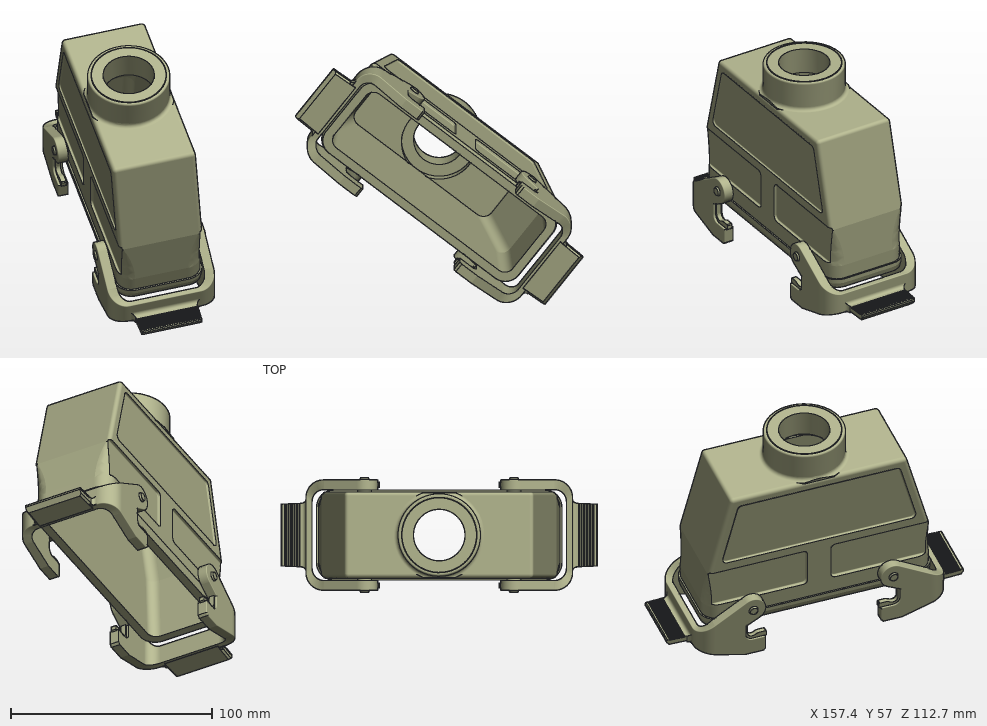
import cadquery as cq
import math

HOOD_BOTTOM = 18.0
FLANGE_MID = 20.5
FLANGE_TOP = 22.9
SKIRT_TOP = 30.0
SHOULDER_Z = 51.3
ROOF_Z = 96.9
NECK_TOP = 112.7

BODY_HALF_WIDTH = 21.5
ROOF_HALF_LENGTH = 46.6
SHOULDER_HALF_LENGTH = 58.5
SKIRT_HALF_LENGTH = 60.1
SKIRT_CORNER = 7.7
BODY_EDGE = 2.0
FLANGE_STEP = 0.9
FLANGE_DRAFT = 0.6
CORNER_SECTIONS = 4
END_SLOPE = (SHOULDER_HALF_LENGTH - ROOF_HALF_LENGTH) / (ROOF_Z - SHOULDER_Z)

WALL = 4.0
ROOF_THICKNESS = 3.5
CAVITY_CORNER = 5.0

LOWER_PANEL_BOTTOM = 31.4
LOWER_PANEL_TOP = 52.7
LOWER_PANEL_INNER_END = 6.2
LOWER_PANEL_DEPTH = 1.4
UPPER_PANEL_BOTTOM = 57.4
UPPER_PANEL_TOP = 92.2
UPPER_PANEL_DEPTH = 1.0
PANEL_END_GAP = 5.0
PANEL_CORNER = 2.5
PANEL_RIM = 0.3
PANEL_FLOOR_FILLET = 0.5

NECK_DIAMETER = 41.0
NECK_EDGE = 1.0
NECK_FLARE = 2.0
BUSH_DIAMETER = 37.5
BUSH_BORE = 25.5
BUSH_LENGTH = 13.6
BUSH_EDGE = 0.25

PIVOT_X = 37.1
PIVOT_Z = 27.8
PEG_DIAMETER = 4.8
PEG_TIP_DIAMETER = 4.0
PEG_SPAN = 57.0
PEG_BOSS_DIAMETER = 7.0

LEG_INNER = 22.5
LEG_OUTER = 27.5
LEG_EDGE = 0.4
BAR_FRONT = 66.3
BAR_BACK = 63.1
CORNER_START = 57.4
OUTER_CORNER = BAR_FRONT - CORNER_START
INNER_CORNER = BAR_BACK - CORNER_START
BAR_TOP = 18.0
BAR_BOTTOM = 7.2
LOBE_RADIUS = 6.6
CORNER_STEPS = 6
TOLERANCE = 0.01

TOE_START = 41.7
TOE_END = 30.6
TOE_EDGE = 1.2
SLOT_TOP = 18.3
SLOT_BACK = 40.9
SLOT_FLOOR = 8.8
SLOT_CORNER = 3.5
RIB_THICKNESS = 2.6
RIB_END = 29.8
RIB_INSET = 1.0
RIB_LOW = 10.3
RIB_HIGH = 11.5

PAD_TIP = 78.7
PAD_TOP = 11.0
PAD_BOTTOM = 7.0
PAD_TIP_HALF_WIDTH = 15.4
PAD_ROOT_HALF_WIDTH = 16.0
PAD_EDGE = 1.0
PAD_TIP_FACE = 1.0
PAD_TIP_TOP_EDGE = 0.5
PAD_TIP_SLANT = 2.0
PAD_FILLET = 1.8
GROOVE_COUNT = 7
GROOVE_PITCH = 1.2
GROOVE_WIDTH = 0.6
GROOVE_DEPTH = 0.5
FIRST_GROOVE = 69.5


def rounded_plan(half_length, half_width, corner, z):
    """Rounded rectangle wire, centred on the Z axis, at one level."""
    outline = cq.Workplane("XY", origin=(0, 0, z)).rect(2 * half_length, 2 * half_width).wires().val()
    return outline.fillet2D(corner, outline.Vertices())


def loft(wires, ruled=False):
    return cq.Workplane(cq.Solid.makeLoft(wires, ruled))


def upper_body():
    """Part above the shoulder: sloping ends, all outer edges rounded."""
    outline = [
        (-SHOULDER_HALF_LENGTH, SHOULDER_Z),
        (SHOULDER_HALF_LENGTH, SHOULDER_Z),
        (ROOF_HALF_LENGTH, ROOF_Z),
        (-ROOF_HALF_LENGTH, ROOF_Z),
    ]
    body = cq.Workplane("XZ").polyline(outline).close().extrude(BODY_HALF_WIDTH, both=True)
    return body.faces("not <Z").edges("not <Z").fillet(BODY_EDGE)


def lower_body():
    """Part between flange and shoulder: the corner radius shrinks towards the shoulder."""
    sections = []
    for i in range(CORNER_SECTIONS):
        rise = i / (CORNER_SECTIONS - 1)
        half_length = SKIRT_HALF_LENGTH + rise * (SHOULDER_HALF_LENGTH - SKIRT_HALF_LENGTH)
        corner = SKIRT_CORNER + rise**2 * (BODY_EDGE - SKIRT_CORNER)
        z = SKIRT_TOP + rise * (SHOULDER_Z - SKIRT_TOP)
        sections.append(rounded_plan(half_length, BODY_HALF_WIDTH, corner, z))
    skirt_plan = [
        rounded_plan(SKIRT_HALF_LENGTH, BODY_HALF_WIDTH, SKIRT_CORNER, z)
        for z in (FLANGE_MID, SKIRT_TOP)
    ]
    return loft(sections).union(loft(skirt_plan, ruled=True))


def flange():
    """Rim around the mouth: straight upper band, tapered lower band."""
    half_length = SKIRT_HALF_LENGTH + FLANGE_STEP
    half_width = BODY_HALF_WIDTH + FLANGE_STEP
    corner = SKIRT_CORNER + FLANGE_STEP
    low = rounded_plan(
        half_length - FLANGE_DRAFT, half_width - FLANGE_DRAFT, corner - FLANGE_DRAFT, HOOD_BOTTOM
    )
    middle = rounded_plan(half_length, half_width, corner, FLANGE_MID)
    high = rounded_plan(half_length, half_width, corner, FLANGE_TOP)
    return loft([low, middle], ruled=True).union(loft([middle, high], ruled=True))


def neck():
    """Round neck with a concave flare where it meets the roof."""
    radius = NECK_DIAMETER / 2
    tube = cq.Workplane("XY", origin=(0, 0, SHOULDER_Z)).circle(radius).extrude(NECK_TOP - SHOULDER_Z)
    tube = tube.faces(">Z").edges().fillet(NECK_EDGE)
    tube = tube.intersect(
        cq.Workplane("XY", origin=(0, 0, ROOF_Z - ROOF_THICKNESS)).circle(radius).extrude(NECK_TOP)
    )
    bend = NECK_FLARE * (1 - math.sqrt(0.5))
    flare = (
        cq.Workplane("XZ")
        .moveTo(0, ROOF_Z - BODY_EDGE)
        .lineTo(radius + NECK_FLARE, ROOF_Z - BODY_EDGE)
        .lineTo(radius + NECK_FLARE, ROOF_Z)
        .threePointArc((radius + bend, ROOF_Z + bend), (radius, ROOF_Z + NECK_FLARE))
        .lineTo(0, ROOF_Z + NECK_FLARE)
        .close()
        .revolve(360, (0, 0, 0), (0, 1, 0))
    )
    clip_width = 2 * BODY_HALF_WIDTH - BODY_EDGE / 2
    between_sides = cq.Workplane("XY").box(2 * NECK_DIAMETER, clip_width, 2 * NECK_TOP)
    return tube.union(flare.intersect(between_sides))


def cavity():
    """Hollow that follows the outline of the hood and opens at the bottom."""
    roof = ROOF_Z - ROOF_THICKNESS
    outline = [
        (-SKIRT_HALF_LENGTH + WALL, HOOD_BOTTOM),
        (SKIRT_HALF_LENGTH - WALL, HOOD_BOTTOM),
        (SHOULDER_HALF_LENGTH - WALL, SHOULDER_Z),
        (ROOF_HALF_LENGTH - WALL, roof),
        (-ROOF_HALF_LENGTH + WALL, roof),
        (-SHOULDER_HALF_LENGTH + WALL, SHOULDER_Z),
    ]
    hollow = cq.Workplane("XZ").polyline(outline).close().extrude(BODY_HALF_WIDTH - WALL, both=True)
    return hollow.edges("not (#Z or |Y)").fillet(CAVITY_CORNER)


def sunk_panel(outline, depth):
    """Shallow pocket on the -Y side whose walls slope in towards a floor with rounded edges."""
    slope = math.degrees(math.atan(PANEL_RIM / depth))
    face = cq.Workplane("XZ", origin=(0, -BODY_HALF_WIDTH, 0)).polyline(outline).close()
    wire = face.wires().val()
    wire = wire.fillet2D(PANEL_CORNER, wire.Vertices())
    mouth = cq.Workplane("XZ", origin=(0, -BODY_HALF_WIDTH, 0)).add(wire).toPending()
    return mouth.extrude(-depth, taper=slope).faces(">Y").edges().fillet(PANEL_FLOOR_FILLET)


def upper_panel():
    low = SHOULDER_HALF_LENGTH - PANEL_END_GAP - END_SLOPE * (UPPER_PANEL_BOTTOM - SHOULDER_Z)
    high = SHOULDER_HALF_LENGTH - PANEL_END_GAP - END_SLOPE * (UPPER_PANEL_TOP - SHOULDER_Z)
    outline = [
        (-low, UPPER_PANEL_BOTTOM),
        (low, UPPER_PANEL_BOTTOM),
        (high, UPPER_PANEL_TOP),
        (-high, UPPER_PANEL_TOP),
    ]
    return sunk_panel(outline, UPPER_PANEL_DEPTH)


def lower_panel():
    """Panel that runs out through the +X end of the hood."""
    beyond = SKIRT_HALF_LENGTH + 2 * PANEL_CORNER
    outline = [
        (LOWER_PANEL_INNER_END, LOWER_PANEL_BOTTOM),
        (beyond, LOWER_PANEL_BOTTOM),
        (beyond, LOWER_PANEL_TOP),
        (LOWER_PANEL_INNER_END, LOWER_PANEL_TOP),
    ]
    return sunk_panel(outline, LOWER_PANEL_DEPTH)


def peg():
    """Pivot peg on the -Y side: boss, shank and a tapered tip, at the +X pivot."""
    radius = PEG_DIAMETER / 2
    tip = PEG_TIP_DIAMETER / 2
    boss = PEG_BOSS_DIAMETER / 2
    root = BODY_HALF_WIDTH - LOWER_PANEL_DEPTH
    profile = [
        (0, root),
        (boss, root),
        (boss, LEG_INNER),
        (radius, LEG_INNER),
        (radius, LEG_OUTER),
        (tip, PEG_SPAN / 2),
        (0, PEG_SPAN / 2),
    ]
    turned = cq.Workplane("XY").polyline(profile).close().revolve(360, (0, 0, 0), (0, 1, 0))
    return turned.mirror("XZ").translate((PIVOT_X, 0, PIVOT_Z))


def build_hood():
    hood = upper_body().union(lower_body()).union(flange()).union(neck())
    for turn in (0, 180):
        half_turn = ((0, 0, 0), (0, 0, 1), turn)
        hood = hood.cut(upper_panel().rotate(*half_turn))
        hood = hood.cut(lower_panel().rotate(*half_turn))
        hood = hood.cut(lower_panel().mirror("YZ").rotate(*half_turn))
        hood = hood.union(peg().rotate(*half_turn))
        hood = hood.union(peg().mirror("YZ").rotate(*half_turn))
    hood = hood.cut(cavity())
    bore_bottom = ROOF_Z - ROOF_THICKNESS
    bore = cq.Workplane("XY", origin=(0, 0, bore_bottom)).circle(BUSH_DIAMETER / 2)
    return hood.cut(bore.extrude(NECK_TOP - bore_bottom))


def build_bush():
    bush = cq.Workplane("XY", origin=(0, 0, NECK_TOP - BUSH_LENGTH)).circle(BUSH_DIAMETER / 2)
    bush = bush.extrude(BUSH_LENGTH)
    bush = bush.faces(">Z").edges().chamfer(BUSH_EDGE)
    return bush.faces(">Z").workplane().hole(BUSH_BORE)


RAMP_RUN = BAR_FRONT - PIVOT_X
RAMP_RISE = PIVOT_Z - BAR_TOP
RAMP_ANGLE = math.atan2(RAMP_RISE, RAMP_RUN) + math.asin(LOBE_RADIUS / math.hypot(RAMP_RUN, RAMP_RISE))
TOE_SLOPE = BAR_BOTTOM / (BAR_FRONT - TOE_START)


def ramp_height(x):
    return BAR_TOP + math.tan(RAMP_ANGLE) * (x + BAR_FRONT)


def underside_height(x):
    return BAR_BOTTOM - TOE_SLOPE * (x + BAR_FRONT)


def leg():
    """Side plate at -Y with pivot lobe, slot and hook toe."""
    lobe_top = (PIVOT_X + LOBE_RADIUS * math.sin(RAMP_ANGLE), PIVOT_Z + LOBE_RADIUS * math.cos(RAMP_ANGLE))
    lobe_bottom = (PIVOT_X - LOBE_RADIUS * math.sin(RAMP_ANGLE), PIVOT_Z - LOBE_RADIUS * math.cos(RAMP_ANGLE))
    lobe_side = (PIVOT_X - LOBE_RADIUS * math.cos(RAMP_ANGLE), PIVOT_Z + LOBE_RADIUS * math.sin(RAMP_ANGLE))
    bend = SLOT_CORNER * (1 - math.sqrt(0.5))
    return (
        cq.Workplane("XZ", origin=(0, -LEG_INNER, 0))
        .moveTo(-CORNER_START, underside_height(-CORNER_START))
        .lineTo(-CORNER_START, ramp_height(-CORNER_START))
        .lineTo(-lobe_top[0], lobe_top[1])
        .threePointArc((-lobe_side[0], lobe_side[1]), (-lobe_bottom[0], lobe_bottom[1]))
        .lineTo(-SLOT_BACK, SLOT_TOP)
        .lineTo(-SLOT_BACK, SLOT_FLOOR + SLOT_CORNER)
        .threePointArc((-SLOT_BACK + bend, SLOT_FLOOR + bend), (-SLOT_BACK + SLOT_CORNER, SLOT_FLOOR))
        .lineTo(-TOE_END, SLOT_FLOOR)
        .lineTo(-TOE_END, TOE_EDGE)
        .lineTo(-TOE_END - TOE_EDGE, 0)
        .lineTo(-TOE_START, 0)
        .close()
        .extrude(LEG_OUTER - LEG_INNER)
    )


def hook_rib():
    """Narrower rib along the slot, standing proud of the toe; it catches the locking peg."""
    middle = (LEG_INNER + LEG_OUTER) / 2
    back = SLOT_BACK - RIB_INSET
    low_start = back - SLOT_CORNER + RIB_INSET
    bend = (SLOT_CORNER - RIB_INSET) * (1 - math.sqrt(0.5))
    crest = RIB_END + SLOT_CORNER
    return (
        cq.Workplane("XZ", origin=(0, -middle, 0))
        .moveTo(-SLOT_BACK, SLOT_TOP)
        .lineTo(-back, SLOT_TOP)
        .lineTo(-back, RIB_LOW + SLOT_CORNER - RIB_INSET)
        .threePointArc((-back + bend, RIB_LOW + bend), (-low_start, RIB_LOW))
        .spline([(-crest, RIB_HIGH)], tangents=[(1, 0), (1, 0)], includeCurrent=True)
        .lineTo(-RIB_END - RIB_INSET / 2, RIB_HIGH)
        .lineTo(-RIB_END, RIB_HIGH - RIB_INSET / 2)
        .lineTo(-RIB_END, SLOT_FLOOR)
        .lineTo(-TOE_END - RIB_INSET, SLOT_FLOOR - RIB_INSET)
        .lineTo(-SLOT_BACK, SLOT_FLOOR - RIB_INSET)
        .close()
        .extrude(RIB_THICKNESS / 2, both=True)
    )


def frame_corner():
    """Bend from the bar into the -Y leg; its top climbs from the flat bar to the ramp."""
    sections = []
    for i in range(CORNER_STEPS + 1):
        angle = math.radians(90 * i / CORNER_STEPS)
        outer_x = -CORNER_START - OUTER_CORNER * math.cos(angle)
        outer_y = -(LEG_OUTER - OUTER_CORNER) - OUTER_CORNER * math.sin(angle)
        inner_x = -CORNER_START - INNER_CORNER * math.cos(angle)
        inner_y = -(LEG_INNER - INNER_CORNER) - INNER_CORNER * math.sin(angle)
        top = ramp_height(outer_x)
        bottom = underside_height(outer_x)
        sections.append(
            cq.Wire.makePolygon(
                [
                    cq.Vector(outer_x, outer_y, bottom),
                    cq.Vector(inner_x, inner_y, bottom),
                    cq.Vector(inner_x, inner_y, top),
                    cq.Vector(outer_x, outer_y, top),
                ],
                close=True,
            )
        )
    return loft(sections)


def bar():
    """Straight front of the frame."""
    front_y = LEG_OUTER - OUTER_CORNER
    back_y = LEG_INNER - INNER_CORNER
    outline = [
        (-BAR_FRONT, -front_y),
        (-BAR_BACK, -back_y),
        (-BAR_BACK, back_y),
        (-BAR_FRONT, front_y),
    ]
    base = cq.Workplane("XY", origin=(0, 0, BAR_BOTTOM)).polyline(outline).close()
    return base.extrude(BAR_TOP - BAR_BOTTOM)


def on_outer_skin(point):
    """True on the outer side of the frame, which lies one corner radius from a U-shaped core."""
    past_legs = max(0, -CORNER_START - point.x)
    past_bar = max(0, abs(point.y) - (LEG_OUTER - OUTER_CORNER))
    return abs(math.hypot(past_legs, past_bar) - OUTER_CORNER) < TOLERANCE


def outer_contour(frame):
    """Edges that bound the outer skin of the frame, without the upright joints at the corners."""
    skin = [edge for edge in frame.edges().vals() if on_outer_skin(edge.positionAt(0.5))]
    joints = frame.edges("|Z").vals()
    return [
        edge for edge in skin
        if edge not in joints or edge.Center().x > -CORNER_START + TOLERANCE
    ]


def pad():
    """Thumb pad: slanted tip and bevelled lower sides."""
    height = PAD_TOP - PAD_BOTTOM
    root_x = BAR_FRONT - PAD_FILLET
    plan = [
        (-root_x, -PAD_ROOT_HALF_WIDTH),
        (-root_x, PAD_ROOT_HALF_WIDTH),
        (-PAD_TIP, PAD_TIP_HALF_WIDTH),
        (-PAD_TIP, -PAD_TIP_HALF_WIDTH),
    ]
    block = cq.Workplane("XY", origin=(0, 0, PAD_BOTTOM)).polyline(plan).close().extrude(height)
    block = block.faces("<Z").edges("not |Y").chamfer(PAD_EDGE)
    tip_side = [
        (-PAD_TIP + PAD_TIP_SLANT, PAD_BOTTOM),
        (-PAD_TIP, PAD_TOP - PAD_TIP_TOP_EDGE - PAD_TIP_FACE),
        (-PAD_TIP, PAD_TOP - PAD_TIP_TOP_EDGE),
        (-PAD_TIP + PAD_TIP_TOP_EDGE, PAD_TOP),
        (-root_x, PAD_TOP),
        (-root_x, PAD_BOTTOM),
    ]
    side_shape = cq.Workplane("XZ").polyline(tip_side).close().extrude(LEG_OUTER, both=True)
    return block.intersect(side_shape)


def pad_root():
    """Concave flare that joins the top and the sides of the pad to the bar."""
    half_width = PAD_ROOT_HALF_WIDTH
    bend = PAD_FILLET * (1 - math.sqrt(0.5))
    start = -BAR_FRONT - PAD_FILLET
    wide = (
        cq.Workplane("XY", origin=(0, 0, PAD_BOTTOM))
        .moveTo(start, -half_width)
        .threePointArc((-BAR_FRONT - bend, -half_width - bend), (-BAR_FRONT, -half_width - PAD_FILLET))
        .lineTo(-BAR_FRONT, half_width + PAD_FILLET)
        .threePointArc((-BAR_FRONT - bend, half_width + bend), (start, half_width))
        .close()
        .extrude(PAD_TOP + PAD_FILLET - PAD_BOTTOM)
    )
    tall = (
        cq.Workplane("XZ")
        .moveTo(start, PAD_TOP)
        .threePointArc((-BAR_FRONT - bend, PAD_TOP + bend), (-BAR_FRONT, PAD_TOP + PAD_FILLET))
        .lineTo(-BAR_FRONT, BAR_BOTTOM)
        .lineTo(start, BAR_BOTTOM)
        .close()
        .extrude(LEG_OUTER, both=True)
    )
    return wide.intersect(tall)


def pad_grooves():
    """Grip grooves across the top of the pad."""
    centres = [(-FIRST_GROOVE - i * GROOVE_PITCH, 0) for i in range(GROOVE_COUNT)]
    top = cq.Workplane("XY", origin=(0, 0, PAD_TOP)).pushPoints(centres)
    return top.rect(GROOVE_WIDTH, 2 * LEG_OUTER).extrude(-GROOVE_DEPTH)


def build_lever():
    lever = bar()
    for part in (leg(), frame_corner()):
        lever = lever.union(part).union(part.mirror("XZ"))
    lever = lever.newObject(outer_contour(lever)).fillet(LEG_EDGE)
    lever = lever.union(pad()).union(pad_root()).cut(pad_grooves())
    lever = lever.union(hook_rib()).union(hook_rib().mirror("XZ"))
    pivot_hole = cq.Workplane("XZ", origin=(-PIVOT_X, 0, PIVOT_Z)).circle(PEG_DIAMETER / 2)
    return lever.cut(pivot_hole.extrude(LEG_OUTER, both=True))


hood = build_hood()
bush = build_bush()
levers = [build_lever().rotate((0, 0, 0), (0, 0, 1), turn) for turn in (0, 180)]
result = cq.Compound.makeCompound([hood.val(), bush.val(), *[lever.val() for lever in levers]])